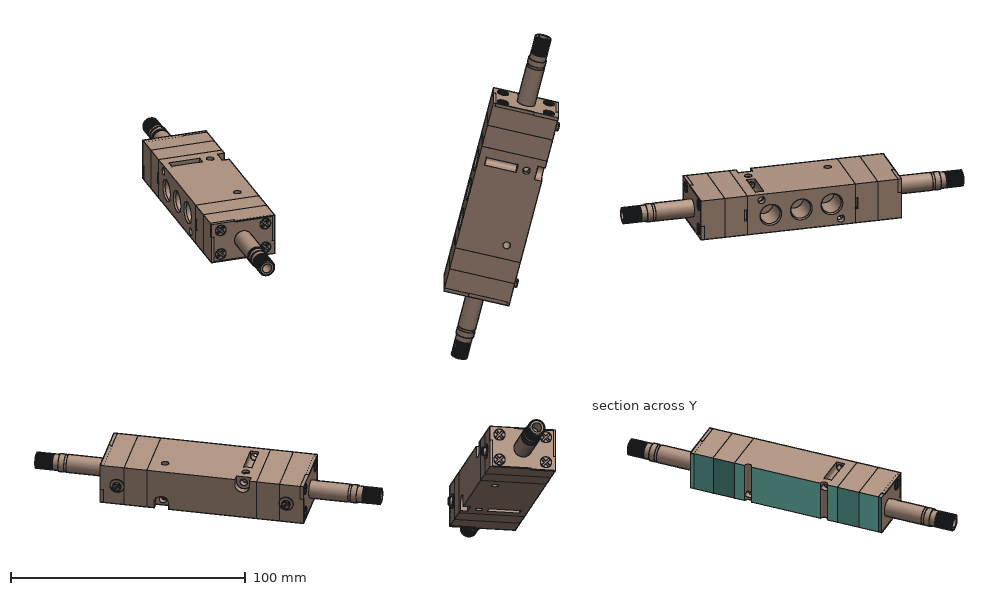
import cadquery as cq


total_length = 150.5
depth = 28.6
height = 18.0
half_depth = depth / 2
half_height = height / 2

body_length = 47.9
adapter_length = 10.0
cap_length = 10.5
adapter_x = -body_length / 2 - adapter_length
cap_x = adapter_x - cap_length
tip_x = -total_length / 2

port_diameter = 8.7
port_depth = 12.0
port_chamfer = 0.5
port_chamfer_depth = 0.9
port_pitch = 13.5
port_rise = 0.9

mount_diameter = 3.2
mount_x = 17.6
mount_y = 6.8
mount_z = 6.3
seat_width = 6.3
seat_depth = 3.2
slot_width = 3.6
slot_length = 13.8
slot_y = -4.2

notch_width = 1.2
notch_height = 5.0
notch_depth = 1.5

plate_thickness = 1.5
rim_y = 1.0
rim_z = 0.5
rim_end_y = 3.6
rim_end_z = 2.9

screw_y = 10.1
screw_z = 5.5
screw_diameter = 4.8
screw_recess = 0.3
cross_width = 0.9
cross_depth = 0.8

tube_diameter = 7.8
neck_diameter = 7.0
root_diameter = 6.0
thread_length = 7.7
thread_count = 8
thread_pitch = thread_length / thread_count
thread_crest = 0.3
thread_flank = 0.23
collar_x = -65.0
groove_x = -62.5
groove_width = 1.0
groove_diameter = 7.4
bore_diameter = 4.0
bore_depth = thread_length

button_x = 36.9
flange_diameter = 6.2
flange_thickness = 0.5
button_diameter = 3.6
button_height = 2.0
button_chamfer = 0.3
driver_slot_width = 0.8
driver_slot_depth = 0.6
driver_slot_angle = 45.0


def half_turn(shape):
    """Turn a shape from the left-hand end to the right-hand end."""
    return shape.rotate((0, 0, 0), (0, 1, 0), 180)


def block(length, end_x):
    """Full-section block starting at end_x and running toward +X."""
    return cq.Workplane("YZ", origin=(end_x, 0, 0)).rect(depth, height).extrude(length)


def cylinder_along_y(diameter, x, y, z, length):
    """Cylinder that starts at y and runs toward +Y."""
    return cq.Workplane("XZ", origin=(x, y, z)).circle(diameter / 2).extrude(-length)


def open_channel(width, y, length):
    """Round-bottomed channel on the left mounting hole, open at the top."""
    lower = cylinder_along_y(width, -mount_x, y, mount_z, length)
    upper = cq.Workplane("XY").box(width, length, height, centered=(True, False, False))
    return lower.union(upper.translate((-mount_x, y, mount_z)))


def port_cutter(x, z):
    """Blind port with a chamfered mouth, cut from the front face."""
    radius = port_diameter / 2
    profile = [
        (0, 0),
        (radius + port_chamfer, 0),
        (radius, port_chamfer_depth),
        (radius, port_depth),
        (0, port_depth),
    ]
    cutter = cq.Workplane("XY").polyline(profile).close().revolve(360, (0, 0, 0), (0, 1, 0))
    return cutter.translate((x, -half_depth, z))


def mount_cutter():
    """Left front-to-back hole with its screw-head seat and its slot."""
    hole = cylinder_along_y(mount_diameter, -mount_x, -half_depth, mount_z, depth)
    seat = open_channel(seat_width, half_depth - seat_depth, seat_depth)
    slot = open_channel(slot_width, slot_y - slot_length / 2, slot_length)
    return hole.union(seat).union(slot)


def make_body():
    body = block(body_length, -body_length / 2)
    for step in (-1, 0, 1):
        body = body.cut(port_cutter(step * port_pitch, step * port_rise))
    body = body.cut(mount_cutter()).cut(half_turn(mount_cutter()))
    vertical_holes = (
        cq.Workplane("XY", origin=(0, 0, -half_height))
        .pushPoints([(-mount_x, mount_y), (mount_x, mount_y)])
        .circle(mount_diameter / 2)
        .extrude(height)
    )
    return body.cut(vertical_holes)


def make_adapter():
    notch = cq.Workplane("XY").box(notch_width, notch_depth, notch_height, centered=(False, False, True))
    notch = notch.translate((adapter_x + adapter_length - notch_width, -half_depth, 0))
    return block(adapter_length, adapter_x).cut(notch)


def plate_blank():
    """Plate outline: a rectangle that reaches the block's sides only at two opposite corners."""
    half_outline = [
        (-half_depth, -half_height),
        (-half_depth, -rim_end_z),
        (rim_y - half_depth, -rim_end_z),
        (rim_y - half_depth, half_height - rim_z),
        (rim_end_y, half_height - rim_z),
        (rim_end_y, half_height),
    ]
    outline = half_outline + [(-y, -z) for y, z in half_outline]
    return cq.Workplane("YZ", origin=(cap_x, 0, 0)).polyline(outline).close().extrude(plate_thickness)


def make_cap():
    return block(cap_length, cap_x).cut(plate_blank())


def screw_cutter():
    """Shallow round recess with a deeper cross in its floor, one for each screw head."""
    points = [(y, z) for y in (-screw_y, screw_y) for z in (-screw_z, screw_z)]
    face = cq.Workplane("YZ", origin=(cap_x, 0, 0)).pushPoints(points)
    cutter = face.circle(screw_diameter / 2).extrude(screw_recess)
    heads = face.circle(screw_diameter / 2).extrude(cross_depth)
    for angle in (45, -45):
        arms = face.slot2D(screw_diameter + cross_width, cross_width, angle).extrude(cross_depth)
        cutter = cutter.union(arms.intersect(heads))
    return cutter


def stem_profile():
    """Half section of the stem as (x, radius) points, from the tip to the end plate."""
    points = [(tip_x, 0)]
    for ridge in range(thread_count):
        start = tip_x + ridge * thread_pitch
        crest_start = start + thread_flank
        crest_end = crest_start + thread_crest
        points += [
            (start, root_diameter / 2),
            (crest_start, neck_diameter / 2),
            (crest_end, neck_diameter / 2),
            (crest_end + thread_flank, root_diameter / 2),
        ]
    points += [
        (tip_x + thread_length, root_diameter / 2),
        (tip_x + thread_length, neck_diameter / 2),
        (collar_x, neck_diameter / 2),
        (collar_x, tube_diameter / 2),
        (groove_x, tube_diameter / 2),
        (groove_x, groove_diameter / 2),
        (groove_x + groove_width, groove_diameter / 2),
        (groove_x + groove_width, tube_diameter / 2),
        (cap_x, tube_diameter / 2),
        (cap_x, 0),
    ]
    return points


def make_solenoid():
    """Threaded stem and end plate in one piece."""
    stem = cq.Workplane("XY").polyline(stem_profile()).close().revolve(360, (0, 0, 0), (1, 0, 0))
    bore = cq.Workplane("YZ", origin=(tip_x, 0, 0)).circle(bore_diameter / 2).extrude(bore_depth)
    plate = plate_blank().cut(screw_cutter())
    return plate.union(stem).cut(bore)


def make_button():
    flange = cylinder_along_y(flange_diameter, -button_x, half_depth, 0, flange_thickness)
    head = cylinder_along_y(button_diameter, -button_x, half_depth, 0, button_height)
    head = head.faces(">Y").chamfer(button_chamfer)
    driver_slot = (
        cq.Workplane("XY")
        .box(flange_diameter, driver_slot_depth, driver_slot_width, centered=(True, False, True))
        .rotate((0, 0, 0), (0, 1, 0), driver_slot_angle)
        .translate((-button_x, half_depth + button_height - driver_slot_depth, 0))
    )
    return flange.union(head).cut(driver_slot)


def both_ends(left_part):
    """The left-hand solid and its copy on the right."""
    solid = left_part.solids().val()
    return [solid, half_turn(solid)]


body = make_body().solids().val()
adapters = both_ends(make_adapter())
caps = both_ends(make_cap())
solenoids = both_ends(make_solenoid())
buttons = both_ends(make_button())

result = cq.Compound.makeCompound([body, *adapters, *caps, *solenoids, *buttons])